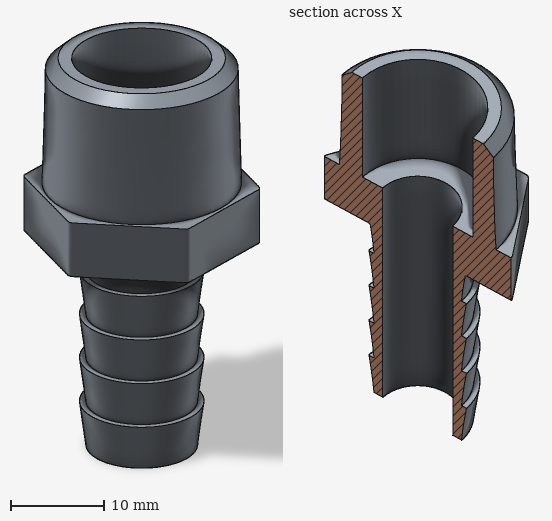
import cadquery as cq

total_height = 45.7
hex_bottom = 24.7
hex_height = 6.35
hex_top = hex_bottom + hex_height

barb_count = 4
barb_pitch = 5.15
barb_tip_radius = 6.0
barb_crest_radius = 6.68

hex_across_flats = 22.2
hex_corner_radius = 0.75

pipe_base_radius = 10.7
pipe_top_radius = 10.35
pipe_rim_radius = 8.95
pipe_chamfer_height = 1.25

bore_radius = 4.75
socket_radius = 7.5
socket_depth = total_height - hex_top


def make_barbed_stem():
    """Stack of upward-flaring cones, the last one cut short by the hexagon."""
    points = [(0, 0)]
    for index in range(barb_count):
        base = index * barb_pitch
        points.append((barb_tip_radius, base))
        points.append((barb_crest_radius, base + barb_pitch))
    neck_base = barb_count * barb_pitch
    flare = (barb_crest_radius - barb_tip_radius) / barb_pitch
    neck_top_radius = barb_tip_radius + flare * (hex_bottom - neck_base)
    points.append((barb_tip_radius, neck_base))
    points.append((neck_top_radius, hex_bottom))
    points.append((0, hex_bottom))
    return cq.Workplane("XZ").polyline(points).close().revolve(360, (0, 0), (0, 1))


def make_hexagon():
    """Wrench hexagon with flats facing X and rounded corners."""
    return (
        cq.Workplane("XY", origin=(0, 0, hex_bottom))
        .polygon(6, hex_across_flats, circumscribed=True)
        .extrude(hex_height)
        .edges("|Z")
        .fillet(hex_corner_radius)
    )


def make_pipe_end():
    """Slightly tapered pipe end with a chamfered rim."""
    points = [
        (0, hex_top),
        (pipe_base_radius, hex_top),
        (pipe_top_radius, total_height - pipe_chamfer_height),
        (pipe_rim_radius, total_height),
        (0, total_height),
    ]
    return cq.Workplane("XZ").polyline(points).close().revolve(360, (0, 0), (0, 1))


def make_passage():
    """Through bore that opens into a wider socket in the pipe end."""
    bore = cq.Workplane("XY").circle(bore_radius).extrude(total_height)
    socket = (
        cq.Workplane("XY", origin=(0, 0, total_height))
        .circle(socket_radius)
        .extrude(-socket_depth)
    )
    return bore.union(socket)


body = make_barbed_stem().union(make_hexagon()).union(make_pipe_end())
result = body.cut(make_passage())